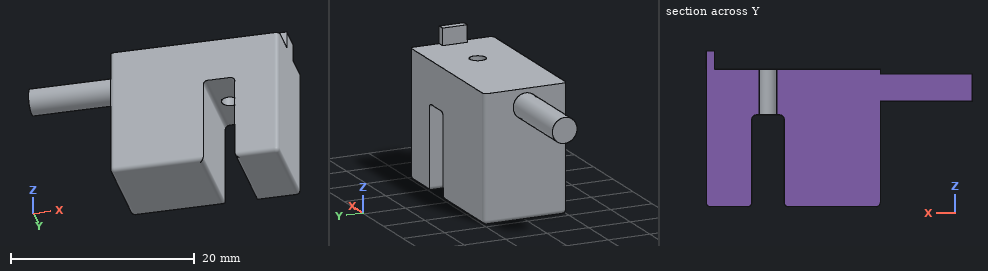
import cadquery as cq

body_length = 19.0
body_width = 10.0
body_height = 15.0
edge_radius = 0.5

slot_start = 10.5
slot_width = 3.5
slot_depth = 10.0
slot_center = slot_start + slot_width / 2
slot_top = slot_depth

hole_diameter = 1.85

cable_length = 10.0
cable_diameter = 3.0
cable_drop = 2.0

tab_thickness = 0.93
tab_width = cable_diameter
tab_height = 2.0


def make_body():
    block = cq.Workplane("XY").box(
        body_length, body_width, body_height, centered=(False, True, False)
    )
    block = block.edges("|Z").fillet(edge_radius)
    slot = (
        cq.Workplane("XY")
        .center(slot_center, 0)
        .box(slot_width, body_width, slot_depth, centered=(True, True, False))
        .edges("|Y and >Z")
        .fillet(edge_radius)
    )
    return block.cut(slot).faces("<Z").edges().fillet(edge_radius)


def make_hole():
    return (
        cq.Workplane("XY", origin=(slot_center, 0, slot_top))
        .circle(hole_diameter / 2)
        .extrude(body_height - slot_top)
    )


def make_cable():
    return (
        cq.Workplane("YZ", origin=(0, 0, body_height - cable_drop))
        .circle(cable_diameter / 2)
        .extrude(-cable_length)
    )


def make_tab():
    return cq.Workplane("XY", origin=(body_length - tab_thickness, 0, body_height)).box(
        tab_thickness, tab_width, tab_height, centered=(False, True, False)
    )


result = make_body().cut(make_hole()).union(make_cable()).union(make_tab())